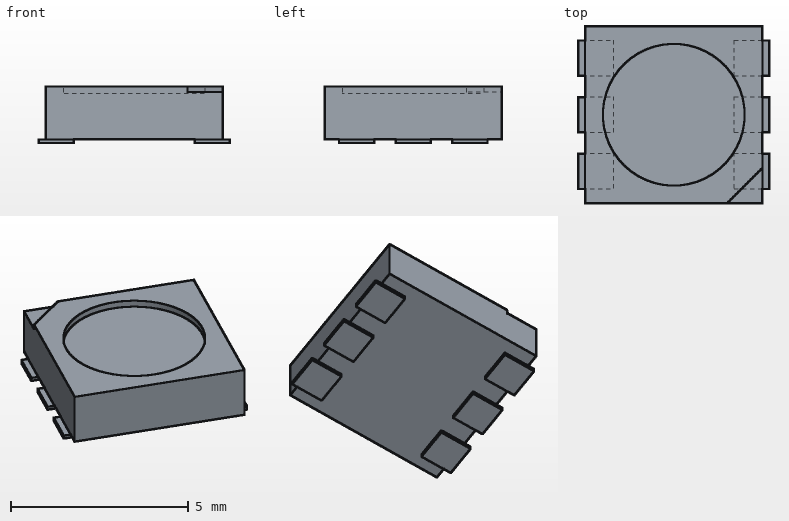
import cadquery as cq

overall_length = 5.4
body_side = 5.0
overall_height = 1.6
pad_thickness = 0.1
pad_size = 1.0
pad_pitch = 1.6
pads_per_side = 3
recess_diameter = 4.0
recess_depth = 0.2
corner_leg = 1.0
corner_depth = 0.15

body_height = overall_height - pad_thickness
half_side = body_side / 2


def make_body():
    """Square block resting on top of the pads."""
    block = cq.Workplane("XY").workplane(offset=pad_thickness)
    return block.rect(body_side, body_side).extrude(body_height)


def make_recess():
    """Round shallow pocket in the top face."""
    top = cq.Workplane("XY").workplane(offset=overall_height)
    return top.circle(recess_diameter / 2).extrude(-recess_depth)


def make_corner_mark():
    """Triangular step at the +X, -Y top corner."""
    top = cq.Workplane("XY").workplane(offset=overall_height)
    triangle = top.polyline([
        (half_side, -half_side),
        (half_side, -half_side + corner_leg),
        (half_side - corner_leg, -half_side),
    ]).close()
    return triangle.extrude(-corner_depth)


def make_pads():
    """Two rows of thin pads projecting beyond the body in X."""
    row_spacing = overall_length - pad_size
    pads = cq.Workplane("XY").rarray(row_spacing, pad_pitch, 2, pads_per_side)
    return pads.rect(pad_size, pad_size).extrude(pad_thickness)


result = make_body().cut(make_recess()).cut(make_corner_mark()).union(make_pads())